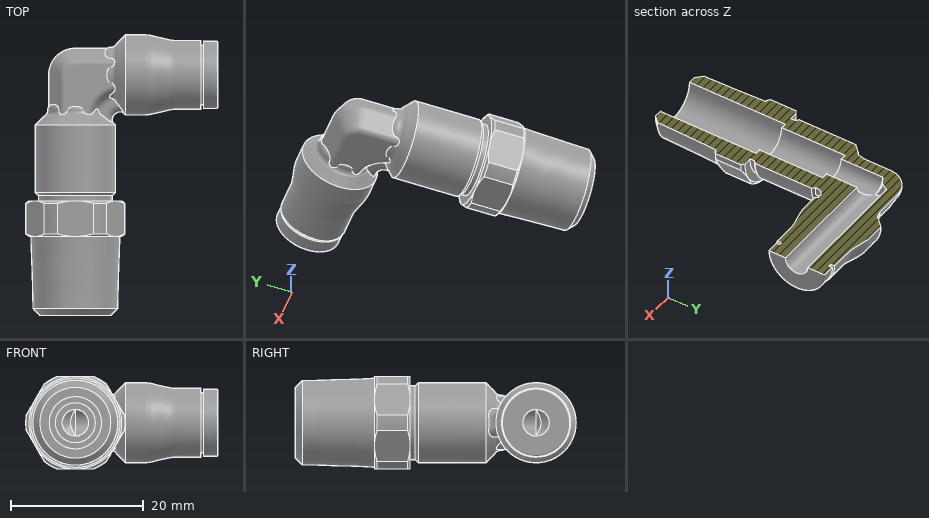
import cadquery as cq
import math


OVERALL_LENGTH = 42.4

SHELL_R = 6.05
SHELL_START = 7.55
CONE_LENGTH = 1.3
NECK_R = 4.2
NECK_START = 5.4
NECK_NOSE_START = 4.35
NECK_NOSE_R = 3.7

TAPER_START = 10.6
TAPER_END = 15.05
BLEND_LENGTH = 0.9
BLEND_DROP = 0.11
SLEEVE_R = 5.2
SLEEVE_END = 18.95
GROOVE_R = 4.55
GROOVE_WIDTH = 0.4
COLLAR_R = 5.1
COLLAR_ROUND = 0.2
ARM_END = 21.5

STEM_END = OVERALL_LENGTH - SHELL_R
SHELL_END = 17.75
SHELL_CHAMFER = 0.45
NUT_START = 19.0
NUT_END = 24.4
NUT_FLATS = 14.0
NUT_CORNER_R = 7.5
NUT_CHAMFER = 0.4
GAUGE_PLANE = 30.2
THREAD_CHAMFER = 1.05
THREAD_ROOT_R = 6.75
THREAD_GAUGE_R = 6.55
THREAD_TIP_R = 6.4

BODY_HALF_HEIGHT = 4.03
BODY_VERTEX = 4.3
FLANK_ANGLE = 62
RIDGE_ROUND = 1.8
EDGE_ROUND = 1.0
BEND_CENTER = 6.8

RIB_HALF_HEIGHT = 2.15
RIB_REACH = 5.6
RIB_ROOT_ROUND = 0.98
RIB_ROUND = 1.3

BORE_R = 2.0
DRILL_ANGLE = 118
STEM_BORE_R = 3.95
STEP_BORE_R = 3.0

CONE_R = SHELL_R - CONE_LENGTH
CONE_START = SHELL_START - CONE_LENGTH
FLANK_SLOPE = math.tan(math.radians(FLANK_ANGLE))
BODY_EDGE = BODY_VERTEX - BODY_HALF_HEIGHT / FLANK_SLOPE
PICK_MARGIN = 0.05


def lathe(profile):
    """Revolve a profile drawn as (distance, radius) about the X axis."""
    return profile.close().revolve(360, (0, 0, 0), (1, 0, 0))


def to_stem(solid):
    """Turn a solid built along +X so that it runs along -Y."""
    return solid.rotate((0, 0, 0), (0, 0, 1), -90)


def shell_profile():
    """Start an arm profile: rounded nose, neck flaring into the 45 degree cone, then the shell."""
    nose_length = NECK_START - NECK_NOSE_START
    nose_drop = NECK_R - NECK_NOSE_R
    nose_r = (nose_length ** 2 + nose_drop ** 2) / (2 * nose_drop)
    half_angle = math.asin(nose_length / nose_r) / 2
    nose_mid = (
        NECK_START - nose_r * math.sin(half_angle),
        NECK_R - nose_r * (1 - math.cos(half_angle)),
    )
    return (
        cq.Workplane("XY")
        .moveTo(NECK_NOSE_START, 0)
        .lineTo(NECK_NOSE_START, NECK_NOSE_R)
        .threePointArc(nose_mid, (NECK_START, NECK_R))
        .tangentArcPoint((CONE_START, CONE_R), relative=False)
        .lineTo(SHELL_START, SHELL_R)
    )


def tube_arm():
    profile = (
        shell_profile()
        .lineTo(TAPER_START, SHELL_R)
        .tangentArcPoint((TAPER_START + BLEND_LENGTH, SHELL_R - BLEND_DROP), relative=False)
        .lineTo(TAPER_END - BLEND_LENGTH, SLEEVE_R + BLEND_DROP)
        .tangentArcPoint((TAPER_END, SLEEVE_R), relative=False)
        .lineTo(SLEEVE_END, SLEEVE_R)
        .lineTo(SLEEVE_END, GROOVE_R)
        .lineTo(SLEEVE_END + GROOVE_WIDTH, GROOVE_R)
        .lineTo(SLEEVE_END + GROOVE_WIDTH, COLLAR_R)
        .lineTo(ARM_END, COLLAR_R)
        .lineTo(ARM_END, 0)
    )
    return lathe(profile).faces(">X").edges().fillet(COLLAR_ROUND)


def stem():
    neck_r = SHELL_R - SHELL_CHAMFER
    profile = (
        shell_profile()
        .lineTo(SHELL_END, SHELL_R)
        .lineTo(SHELL_END + SHELL_CHAMFER, neck_r)
        .lineTo(NUT_END, neck_r)
        .lineTo(NUT_END, THREAD_ROOT_R)
        .lineTo(GAUGE_PLANE, THREAD_GAUGE_R)
        .lineTo(STEM_END - THREAD_CHAMFER, THREAD_TIP_R)
        .lineTo(STEM_END, THREAD_TIP_R - THREAD_CHAMFER)
        .lineTo(STEM_END, 0)
    )
    return to_stem(lathe(profile)).union(nut())


def nut():
    """Hexagon with flats up and down, its corners turned down to a chamfered cylinder."""
    length = NUT_END - NUT_START
    hexagon = cq.Workplane("XZ").workplane(offset=NUT_START).polygon(6, NUT_FLATS, circumscribed=True)
    blank = (
        cq.Workplane("XZ")
        .workplane(offset=NUT_START)
        .circle(NUT_CORNER_R)
        .extrude(length)
        .edges()
        .chamfer(NUT_CHAMFER, NUT_CORNER_R - NUT_FLATS / 2)
    )
    half_step = 360 / 6 / 2
    flats_up = hexagon.extrude(length).rotate((0, 0, 0), (0, 1, 0), half_step)
    return flats_up.intersect(blank)


def symmetric_section(inner, upper_points):
    """Sketch mirrored about its horizontal axis, bounded by `inner` and the upper outline."""
    upper = [(inner, BODY_HALF_HEIGHT)] + upper_points
    lower = [(x, -z) for x, z in reversed(upper) if z > 0]
    return cq.Sketch().polygon(upper + lower + upper[:1])


def round_corners(sketch, x, radius):
    """Fillet the section corners found at distance `x` from the axis."""
    at_x = cq.selectors.BoxSelector(
        (x - PICK_MARGIN, -BODY_VERTEX, -PICK_MARGIN),
        (x + PICK_MARGIN, BODY_VERTEX, PICK_MARGIN),
    )
    return sketch.vertices(at_x).fillet(radius).reset()


def body_section():
    """Half of the elbow's hexagon, from the axis out to the rounded side ridge."""
    section = symmetric_section(0, [(BODY_EDGE, BODY_HALF_HEIGHT), (BODY_VERTEX, 0)])
    section = round_corners(section, BODY_VERTEX, RIDGE_ROUND)
    return round_corners(section, BODY_EDGE, EDGE_ROUND)


def rib_section():
    """Inside of the bend: the hexagon's edge and flank, then a lower rib with rounded edges."""
    root = BODY_EDGE + (BODY_HALF_HEIGHT - RIB_HALF_HEIGHT) / FLANK_SLOPE
    outline = [
        (BODY_EDGE, BODY_HALF_HEIGHT),
        (root, RIB_HALF_HEIGHT),
        (RIB_REACH, RIB_HALF_HEIGHT),
    ]
    section = symmetric_section(-BEND_CENTER, outline)
    section = round_corners(section, BODY_EDGE, EDGE_ROUND)
    section = round_corners(section, root, RIB_ROOT_ROUND)
    return round_corners(section, RIB_REACH, RIB_ROUND)


def across_bend(solid):
    """Turn a solid lying along the stem so that it lies along the tube arm."""
    return solid.rotate((0, 0, 0), (1, -1, 0), 180)


def corner_box(size):
    """Block filling the inside corner between the two axes."""
    height = 2 * BODY_HALF_HEIGHT
    box = cq.Workplane("XY").box(size, size, height, centered=(False, False, True))
    return box.translate((0, -size, 0))


def elbow_body():
    half = body_section()
    leg_half = cq.Workplane("XZ").placeSketch(half).extrude(BEND_CENTER)
    leg = leg_half.union(leg_half.mirror("YZ"))
    outer_bend = cq.Workplane("XZ").placeSketch(half).revolve(360, (0, 0, 0), (0, 1, 0))
    return leg.union(across_bend(leg)).union(outer_bend).union(inner_bend())


def inner_bend():
    """Rib section carried round the bend's centre, with straight ends running into the cones."""
    section = rib_section()
    turn = (
        cq.Workplane("XZ")
        .placeSketch(section)
        .revolve(360, (BEND_CENTER, 0, 0), (BEND_CENTER, 1, 0))
        .translate((0, -BEND_CENTER, 0))
        .intersect(corner_box(BEND_CENTER))
    )
    end = (
        cq.Workplane("XZ")
        .workplane(offset=BEND_CENTER)
        .placeSketch(section)
        .extrude(SHELL_START - BEND_CENTER)
        .intersect(corner_box(SHELL_START))
    )
    return turn.union(end).union(across_bend(end))


def drilled_bore(length):
    """Bore along +X with a drill-point end at the elbow."""
    tip = BORE_R / math.tan(math.radians(DRILL_ANGLE / 2))
    profile = cq.Workplane("XY").polyline([(-tip, 0), (0, BORE_R), (length, BORE_R), (length, 0)])
    return lathe(profile)


def stem_counterbore(radius, depth_plane):
    """Round bore running from `depth_plane` to the open end of the stem."""
    return cq.Workplane("XZ").workplane(offset=depth_plane).circle(radius).extrude(STEM_END - depth_plane)


result = (
    elbow_body()
    .union(tube_arm())
    .union(stem())
    .cut(drilled_bore(ARM_END))
    .cut(to_stem(drilled_bore(STEM_END)))
    .cut(stem_counterbore(STEP_BORE_R, SHELL_START))
    .cut(stem_counterbore(STEM_BORE_R, NUT_START))
)